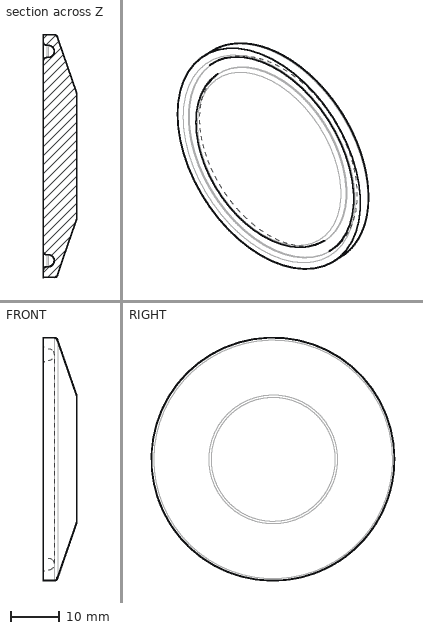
import cadquery as cq
import math

outer_radius = 25.25
thickness = 7.0
nose_radius = 13.15
rim_width = 2.85
rim_round = 0.7
nose_round = 1.5

groove_outer_radius = 23.0
groove_inner_radius = 20.55
lip_round = 0.75
pad_round = 0.75
wall_height = 0.3


def make_disc():
    """Revolve the plain disc about X and round the edges of its cone."""
    outline = (
        cq.Workplane("XY")
        .polyline([(0, 0), (0, outer_radius), (rim_width, outer_radius),
                   (thickness, nose_radius), (thickness, 0)])
        .close()
    )
    disc = outline.revolve(360, (0, 0, 0), (1, 0, 0))
    rim_edge = cq.selectors.BoxSelector(
        (rim_width - 0.5, -2 * outer_radius, -2 * outer_radius),
        (rim_width + 0.5, 2 * outer_radius, 2 * outer_radius),
    )
    return disc.edges(rim_edge).edges("%CIRCLE").fillet(rim_round).edges(">X").fillet(nose_round)


def make_groove():
    """Revolve the groove section: rounded lips, straight walls and a round bottom."""
    bottom_round = (groove_outer_radius - groove_inner_radius) / 2
    middle_radius = groove_inner_radius + bottom_round
    wall_end = lip_round + wall_height
    diagonal = 1 - math.sqrt(0.5)
    section = (
        cq.Workplane("XY")
        .moveTo(0, groove_outer_radius + lip_round)
        .threePointArc((lip_round * diagonal, groove_outer_radius + lip_round * diagonal),
                       (lip_round, groove_outer_radius))
        .lineTo(wall_end, groove_outer_radius)
        .threePointArc((wall_end + bottom_round, middle_radius), (wall_end, groove_inner_radius))
        .lineTo(pad_round, groove_inner_radius)
        .threePointArc((pad_round * diagonal, groove_inner_radius - pad_round * diagonal),
                       (0, groove_inner_radius - pad_round))
        .close()
    )
    return section.revolve(360, (0, 0, 0), (1, 0, 0))


result = make_disc().cut(make_groove())